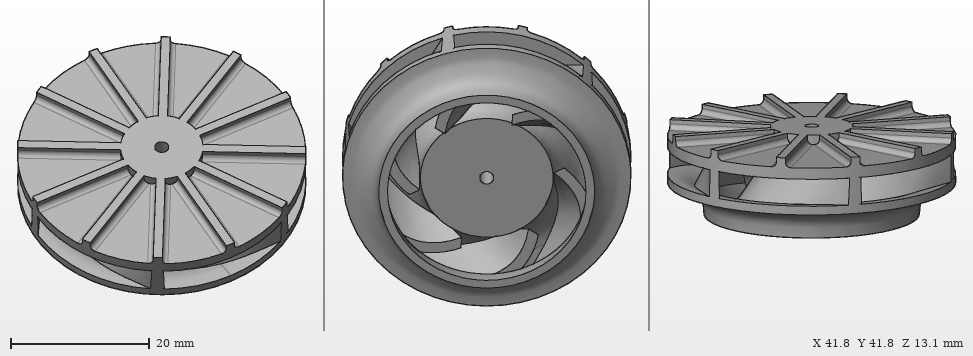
import cadquery as cq

OUTER_RADIUS = 20.9
TOTAL_HEIGHT = 13.1
BORE_DIAMETER = 2.0
CLEARANCE = 0.85

RIB_COUNT = 12
RIB_WIDTH = 1.35
RIB_HEIGHT = 1.4
RIB_ROOT_RADIUS = 0.8
CENTRE_PAD_RADIUS = 5.98
PLATE_THICKNESS = 1.67
PLATE_TOP = TOTAL_HEIGHT - RIB_HEIGHT
PLATE_BOTTOM = PLATE_TOP - PLATE_THICKNESS

HUB_FLARE_START = (15.9, PLATE_BOTTOM)
HUB_FLARE_MIDDLE = (11.45, 8.02)
HUB_NOSE = (9.6, 4.47)

RIM_TOP = 5.98
RIM_BOTTOM = 4.7
THROAT_OUTER_RADIUS = 15.65
THROAT_INNER_RADIUS = 14.38
SHROUD_OUTER_POINTS = [(18.4, 4.2), (16.45, 2.93)]
SHROUD_INNER_POINTS = [(18.05, 5.5), (15.38, 3.8)]

BLADE_COUNT = 6
HUB_FACE_OUTER = [(-0.2, -21.52), (-0.85, -20.9), (-4.4, -17.35), (-7.77, -12.95), (-9.53, -7.0)]
HUB_FACE_INNER = [(1.45, -21.52), (0.85, -20.9), (-1.9, -18.18), (-5.15, -14.4), (-7.85, -8.1)]
SHROUD_FACE_OUTER = [(0.0, -21.5), (-1.0, -20.9), (-6.05, -17.75), (-10.45, -12.75), (-10.65, -3.35)]
SHROUD_FACE_INNER = [(2.0, -21.5), (1.0, -20.9), (-4.8, -16.8), (-8.78, -11.9), (-9.0, -3.95)]
BLADE_BOTTOM = 3.35
BLADE_TOP = PLATE_BOTTOM + PLATE_THICKNESS / 4


def disc(radius, bottom, top):
    return cq.Workplane("XY").workplane(offset=bottom).circle(radius).extrude(top - bottom)


def revolve(section):
    return section.close().revolve(360, (0, 0, 0), (0, 1, 0))


def ring(body, count):
    """Copies of a body evenly spaced about Z."""
    return [body.rotate((0, 0, 0), (0, 0, 1), i * 360 / count) for i in range(count)]


def impeller_blank():
    """Outer envelope: throat and shroud outside, then a cylinder up to the rib tops."""
    section = (
        cq.Workplane("XZ")
        .lineTo(THROAT_OUTER_RADIUS, 0)
        .spline(
            SHROUD_OUTER_POINTS[::-1] + [(OUTER_RADIUS, RIM_BOTTOM)],
            tangents=[(0, 1), (1, 0)],
            includeCurrent=True,
        )
        .lineTo(OUTER_RADIUS, TOTAL_HEIGHT)
        .lineTo(0, TOTAL_HEIGHT)
    )
    return revolve(section)


def rib_bar():
    """Bar across the whole plate, flaring to the plate along concave root arcs."""
    half = RIB_WIDTH / 2
    foot = half + RIB_ROOT_RADIUS
    shoulder = PLATE_TOP + RIB_ROOT_RADIUS
    base = PLATE_TOP - CLEARANCE
    top = TOTAL_HEIGHT + CLEARANCE
    return (
        cq.Workplane("YZ")
        .moveTo(-foot, base)
        .lineTo(foot, base)
        .lineTo(foot, PLATE_TOP)
        .radiusArc((half, shoulder), RIB_ROOT_RADIUS)
        .lineTo(half, top)
        .lineTo(-half, top)
        .lineTo(-half, shoulder)
        .radiusArc((-foot, PLATE_TOP), RIB_ROOT_RADIUS)
        .close()
        .extrude(OUTER_RADIUS + 2 * CLEARANCE, both=True)
    )


def rib_gaps():
    """Material removed between the ribs, outside the centre pad."""
    top = TOTAL_HEIGHT + CLEARANCE / 2
    gaps = disc(OUTER_RADIUS + CLEARANCE, PLATE_TOP, top).cut(disc(CENTRE_PAD_RADIUS, PLATE_TOP, top))
    for bar in ring(rib_bar(), RIB_COUNT)[: RIB_COUNT // 2]:
        gaps = gaps.cut(bar)
    return gaps


def flow_space():
    """Space between hub and shroud, from the inlet out past the rim."""
    outside = OUTER_RADIUS + 2 * CLEARANCE
    section = (
        cq.Workplane("XZ")
        .moveTo(0, -CLEARANCE)
        .lineTo(THROAT_INNER_RADIUS, -CLEARANCE)
        .lineTo(THROAT_INNER_RADIUS, 0)
        .spline(
            SHROUD_INNER_POINTS[::-1] + [(OUTER_RADIUS, RIM_TOP)],
            tangents=[(0, 1), (1, 0)],
            includeCurrent=True,
        )
        .lineTo(outside, RIM_TOP)
        .lineTo(outside, PLATE_BOTTOM)
        .lineTo(*HUB_FLARE_START)
        .spline([HUB_FLARE_MIDDLE, HUB_NOSE], tangents=[(-1, 0), (0, -1)], includeCurrent=True)
        .lineTo(0, HUB_NOSE[1])
    )
    return revolve(section)


def blade_section(height):
    """Blade outline at a height, on the straight lines joining shroud and hub sections."""
    share = (height - RIM_TOP) / (PLATE_BOTTOM - RIM_TOP)

    def between(low_points, high_points):
        return [
            (x0 + (x1 - x0) * share, y0 + (y1 - y0) * share)
            for (x0, y0), (x1, y1) in zip(low_points, high_points)
        ]

    outer = between(SHROUD_FACE_OUTER, HUB_FACE_OUTER)
    inner = between(SHROUD_FACE_INNER, HUB_FACE_INNER)[::-1]
    return (
        cq.Workplane("XY", origin=(0, 0, height))
        .spline(outer)
        .lineTo(*inner[0])
        .spline(inner[1:], includeCurrent=True)
        .close()
        .val()
    )


def blade():
    sections = [blade_section(BLADE_BOTTOM), blade_section(BLADE_TOP)]
    return cq.Workplane(cq.Solid.makeLoft(sections, True))


def passages():
    """Flow space less the blades, cut from the blank in one piece."""
    space = flow_space()
    for one_blade in ring(blade(), BLADE_COUNT):
        space = space.cut(one_blade)
    return space


bore = disc(BORE_DIAMETER / 2, 0, TOTAL_HEIGHT)
result = impeller_blank().cut(rib_gaps()).cut(passages()).cut(bore)